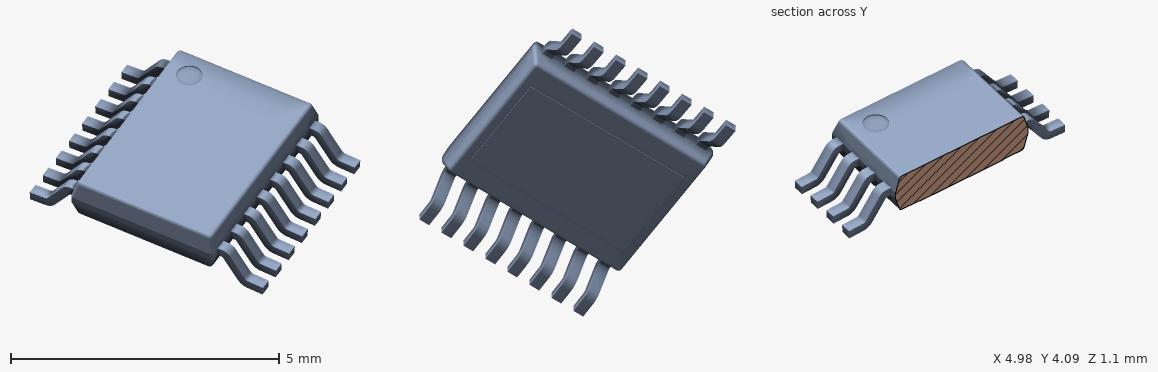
import cadquery as cq
import math

SPAN_X = 4.98
TOP_Z = 1.1

BODY_X = 3.06
BODY_Y = 4.09
BODY_BOTTOM_Z = 0.245
BAND_HEIGHT = 0.15
DRAFT_ANGLE = 16.0
EDGE_RADIUS = 0.075
MID_Z = (TOP_Z + BODY_BOTTOM_Z) / 2

MARK_DIAMETER = 0.5
MARK_EDGE_DISTANCE = 0.605
MARK_DEPTH = 0.025

PAD_X = 1.95
PAD_Y = 3.485
PAD_PROTRUSION = 0.015

LEADS_PER_SIDE = 8
LEAD_ROW_LENGTH = 3.5
LEAD_PITCH = LEAD_ROW_LENGTH / (LEADS_PER_SIDE - 1)
LEAD_WIDTH = 0.22
LEAD_THICKNESS = 0.185
LEAD_SLOPE = 54.5
FOOT_TILT = 2.5
SHOULDER_X = 1.62
UPPER_BEND_RADIUS = 0.115
LOWER_BEND_RADIUS = 0.185
LEAD_EMBED = 0.15


def make_body():
    """Two tapered halves meeting at a vertical band, with rounded edges."""
    half_height = (TOP_Z - BODY_BOTTOM_Z) / 2
    taper_height = half_height - BAND_HEIGHT / 2

    upper = (
        cq.Workplane("XY", origin=(0, 0, MID_Z + BAND_HEIGHT / 2))
        .rect(BODY_X, BODY_Y)
        .extrude(taper_height, taper=DRAFT_ANGLE)
    )
    lower = upper.mirror("XY", (0, 0, MID_Z))
    band = cq.Workplane("XY", origin=(0, 0, MID_Z)).box(BODY_X, BODY_Y, BAND_HEIGHT)
    body = band.union(upper).union(lower)

    corners = body.edges("not #Z")
    return corners.add(body.faces("<Z or >Z").edges()).fillet(EDGE_RADIUS)


def make_mark_cutter():
    """Shallow round recess marking pin 1."""
    return (
        cq.Workplane("XY", origin=(0, 0, TOP_Z - MARK_DEPTH))
        .center(MARK_EDGE_DISTANCE - BODY_X / 2, BODY_Y / 2 - MARK_EDGE_DISTANCE)
        .circle(MARK_DIAMETER / 2)
        .extrude(2 * MARK_DEPTH)
    )


def make_pad():
    """Thin pad on the underside, running up into the body."""
    return (
        cq.Workplane("XY", origin=(0, 0, BODY_BOTTOM_Z - PAD_PROTRUSION))
        .rect(PAD_X, PAD_Y)
        .extrude(2 * PAD_PROTRUSION)
    )


def make_lead():
    """One lead on the +X side, swept along its centreline at Y = 0."""
    slope = math.radians(LEAD_SLOPE)
    tilt = math.radians(FOOT_TILT)
    upper_setback = UPPER_BEND_RADIUS * math.tan(slope / 2)
    lower_setback = LOWER_BEND_RADIUS * math.tan((slope - tilt) / 2)

    tip_x = SPAN_X / 2 - LEAD_THICKNESS / 2 * math.sin(tilt)
    tip_z = LEAD_THICKNESS / 2 * math.cos(tilt)

    upper_x = SHOULDER_X + upper_setback
    foot_z_at_upper_x = tip_z + (tip_x - upper_x) * math.tan(tilt)
    leg_run = (MID_Z - foot_z_at_upper_x) / (math.tan(slope) - math.tan(tilt))
    lower_x = upper_x + leg_run
    lower_z = MID_Z - leg_run * math.tan(slope)

    leg_start = (
        upper_x + upper_setback * math.cos(slope),
        MID_Z - upper_setback * math.sin(slope),
    )
    leg_end = (
        lower_x - lower_setback * math.cos(slope),
        lower_z + lower_setback * math.sin(slope),
    )
    foot_start = (
        lower_x + lower_setback * math.cos(tilt),
        lower_z - lower_setback * math.sin(tilt),
    )

    root_x = BODY_X / 2 - LEAD_EMBED
    centreline = (
        cq.Workplane("XZ")
        .moveTo(root_x, MID_Z)
        .lineTo(SHOULDER_X, MID_Z)
        .tangentArcPoint(leg_start, relative=False)
        .lineTo(*leg_end)
        .tangentArcPoint(foot_start, relative=False)
        .lineTo(tip_x, tip_z)
    )
    return (
        cq.Workplane("YZ", origin=(root_x, 0, MID_Z))
        .rect(LEAD_WIDTH, LEAD_THICKNESS)
        .sweep(centreline)
    )


body = make_body().cut(make_mark_cutter())
result = body.union(make_pad())

right_lead = make_lead()
left_lead = right_lead.mirror("YZ")
for index in range(LEADS_PER_SIDE):
    lead_y = index * LEAD_PITCH - LEAD_ROW_LENGTH / 2
    for lead in (right_lead, left_lead):
        result = result.union(lead.translate((0, lead_y, 0)))